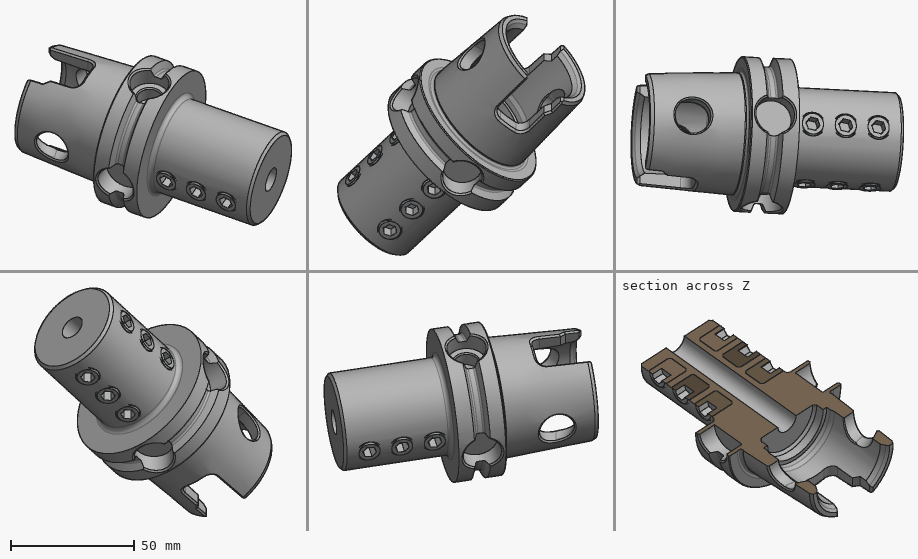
import cadquery as cq
import math

LENGTH = 105.0

TIP_CHAMFER_LENGTH = 1.4
TIP_RADIUS = 22.4
TAPER_START_RADIUS = 23.0
TAPER_END_RADIUS = 24.9
TAPER_END_X = 38.6

FLANGE_RADIUS = 31.5
FLANGE_FACE_X = 40.0
FLANGE_BACK_X = 59.8
FLANGE_EDGE_CHAMFER = 0.4
FACE_RELIEF_RADIUS = 26.9
FACE_RELIEF_DEPTH = 0.2
FACE_FILLET = 1.0
UNDERCUT_RADIUS = 24.7
FLANGE_MID_X = (FLANGE_FACE_X + FLANGE_BACK_X) / 2

GROOVE_MOUTH_WIDTH = 6.6
GROOVE_ROOT_WIDTH = 3.4
GROOVE_ROOT_RADIUS = 27.8
GROOVE_ROOT_FILLET = 0.9

POCKET_RADIUS = 8.0
POCKET_FLOOR_RADIUS = 22.7
POCKET_CHAMFER = 0.7
POCKET_ANGLES = (0.0, 90.0, 180.0, 270.0)

DRILL_RADIUS = 5.0
DRILL_DEPTH = 6.3
DRILL_CHAMFER = 0.5
DRILL_POINT_ANGLE = 118.0

BODY_RADIUS = 20.0
BODY_NECK_FILLET = 2.0
BODY_END_CHAMFER = 1.2

MOUTH_RADIUS = 20.4
MOUTH_CHAMFER = 1.2
LEAD_IN_END_X = 3.1
BORE_RADIUS = 18.0
BORE_END_X = 30.0
SEAT_RADIUS = 17.5
SEAT_START_X = 32.1
SHOULDER_X = 34.1
RECESS_RADIUS = 15.5
RECESS_FLOOR_X = 39.0
RECESS_CHAMFER = 1.2
THROUGH_BORE_RADIUS = 5.0

CROSS_HOLE_X = 17.4
CROSS_HOLE_RADIUS = 7.2
CROSS_HOLE_CHAMFER = 0.7
CROSS_HOLE_INNER_CHAMFER = 0.4

TILT_ANGLE = 27.0
TILT_MEETING_Y = 21.2

SLOT_END_X = 21.8
SLOT_HALF_WIDTH = 8.1
SLOT_CORNER_RADIUS = 3.9
SLOT_MOUTH_HALF_WIDTH = 10.1
SLOT_STEP_START_X = 6.7
SLOT_STEP_END_X = 9.1
SLOT_MOUTH_CHAMFER_LENGTH = 1.2
SLOT_MOUTH_CHAMFER_WIDTH = 0.8
SLOT_EDGE_CHAMFER = 0.9

SCREW_FIRST_X = 67.4
SCREW_PITCH = 13.5
SCREWS_PER_ROW = 3
SCREW_ROW_ANGLES = (90.0, -90.0, 180.0)
SCREW_RADIUS = 5.0
SCREW_LENGTH = 12.0
SCREW_CHAMFER = 0.68
SOCKET_ACROSS_FLATS = 5.0
SOCKET_DEPTH = 5.0
SOCKET_TURN = 11.0
SOCKET_SIDES = 6

EDGE_SAMPLES = (0.1, 0.3, 0.5, 0.7, 0.9)
TOLERANCE = 0.01
CLEARANCE = 1.0


def revolved(profile):
    """Turn a closed (x, radius) profile about the X axis."""
    return profile.close().revolve(360, (0, 0, 0), (1, 0, 0))


def radial_plane(x, radius, angle):
    """Plane at a distance from the axis, facing outward; angle 0 is +Z, 90 is -Y."""
    turn = math.radians(angle)
    outward = (0, -math.sin(turn), math.cos(turn))
    origin = (x, radius * outward[1], radius * outward[2])
    return cq.Plane(origin=origin, xDir=(1, 0, 0), normal=outward)


def edges_where(body, condition):
    """Edges of a body whose sample points all meet a condition."""
    def fits(edge):
        return all(condition(edge.positionAt(t)) for t in EDGE_SAMPLES)
    return body.newObject([edge for edge in body.edges().vals() if fits(edge)])


def hole_rim(body, x, radius, along_y, near, far):
    """Rim of round holes square to the X axis, between two distances from the axis."""
    def on_rim(p):
        side = p.z if along_y else p.y
        on_hole = abs(math.hypot(p.x - x, side) - radius) < TOLERANCE
        return on_hole and near < math.hypot(p.y, p.z) < far
    return edges_where(body, on_rim)


def outer_body():
    """Solid of revolution: taper, flange and rear body."""
    relief_x = FLANGE_FACE_X + FACE_RELIEF_DEPTH
    profile = (
        cq.Workplane("XY")
        .moveTo(0, 0)
        .lineTo(0, TAPER_START_RADIUS)
        .lineTo(TAPER_END_X, TAPER_END_RADIUS)
        .lineTo(relief_x - FACE_FILLET, UNDERCUT_RADIUS)
        .radiusArc((relief_x, UNDERCUT_RADIUS + FACE_FILLET), -FACE_FILLET)
        .lineTo(FLANGE_FACE_X, FACE_RELIEF_RADIUS)
        .lineTo(FLANGE_FACE_X, FLANGE_RADIUS - FLANGE_EDGE_CHAMFER)
        .lineTo(FLANGE_FACE_X + FLANGE_EDGE_CHAMFER, FLANGE_RADIUS)
        .lineTo(FLANGE_BACK_X, FLANGE_RADIUS)
        .lineTo(FLANGE_BACK_X, BODY_RADIUS + BODY_NECK_FILLET)
        .radiusArc((FLANGE_BACK_X + BODY_NECK_FILLET, BODY_RADIUS), -BODY_NECK_FILLET)
        .lineTo(LENGTH - BODY_END_CHAMFER, BODY_RADIUS)
        .lineTo(LENGTH, BODY_RADIUS - BODY_END_CHAMFER)
        .lineTo(LENGTH, 0)
    )
    return revolved(profile)


def pocket(angle):
    """Round pocket with a flat floor, cut straight into the rim."""
    plane = radial_plane(FLANGE_MID_X, POCKET_FLOOR_RADIUS, angle)
    return cq.Workplane(plane).circle(POCKET_RADIUS).extrude(FLANGE_RADIUS)


def groove():
    """Ring that cuts the V groove; it reaches a little beyond the rim."""
    outer = FLANGE_RADIUS + CLEARANCE
    slope = (GROOVE_MOUTH_WIDTH - GROOVE_ROOT_WIDTH) / 2 / (FLANGE_RADIUS - GROOVE_ROOT_RADIUS)
    half_root = GROOVE_ROOT_WIDTH / 2
    half_outer = half_root + slope * (outer - GROOVE_ROOT_RADIUS)
    profile = (
        cq.Workplane("XY")
        .moveTo(FLANGE_MID_X - half_outer, outer)
        .lineTo(FLANGE_MID_X - half_root, GROOVE_ROOT_RADIUS)
        .lineTo(FLANGE_MID_X + half_root, GROOVE_ROOT_RADIUS)
        .lineTo(FLANGE_MID_X + half_outer, outer)
    )
    ring = revolved(profile)
    root = cq.selectors.RadiusNthSelector(0)
    return ring.edges("%CIRCLE").edges(root).fillet(GROOVE_ROOT_FILLET)


def top_drill():
    """Drilled hole with a bevelled mouth and a conical bottom."""
    plane = radial_plane(FLANGE_MID_X, POCKET_FLOOR_RADIUS, 0)
    point = DRILL_RADIUS / math.tan(math.radians(DRILL_POINT_ANGLE / 2))
    profile = (
        cq.Workplane("XZ", origin=plane.origin.toTuple())
        .moveTo(0, 0)
        .lineTo(DRILL_RADIUS + DRILL_CHAMFER, 0)
        .lineTo(DRILL_RADIUS, -DRILL_CHAMFER)
        .lineTo(DRILL_RADIUS, -DRILL_DEPTH)
        .lineTo(0, -DRILL_DEPTH - point)
        .close()
    )
    return profile.revolve(360, (0, 0, 0), (0, 1, 0))


def cavity():
    """Stepped bore of the nose together with the through bore behind it."""
    profile = (
        cq.Workplane("XY")
        .moveTo(0, 0)
        .lineTo(0, MOUTH_RADIUS)
        .lineTo(MOUTH_CHAMFER, MOUTH_RADIUS - MOUTH_CHAMFER)
        .lineTo(LEAD_IN_END_X, BORE_RADIUS)
        .lineTo(BORE_END_X, BORE_RADIUS)
        .lineTo(SEAT_START_X, SEAT_RADIUS)
        .lineTo(SHOULDER_X, SEAT_RADIUS)
        .lineTo(SHOULDER_X, RECESS_RADIUS)
        .lineTo(RECESS_FLOOR_X - RECESS_CHAMFER, RECESS_RADIUS)
        .lineTo(RECESS_FLOOR_X, RECESS_RADIUS - RECESS_CHAMFER)
        .lineTo(RECESS_FLOOR_X, THROUGH_BORE_RADIUS)
        .lineTo(LENGTH, THROUGH_BORE_RADIUS)
        .lineTo(LENGTH, 0)
    )
    return revolved(profile)


def drive_slot():
    """Slot right across the nose, wider at its -Y side near the tip."""
    corner = SLOT_CORNER_RADIUS
    outline = (
        cq.Workplane("XY")
        .moveTo(0, SLOT_HALF_WIDTH)
        .lineTo(SLOT_END_X - corner, SLOT_HALF_WIDTH)
        .radiusArc((SLOT_END_X, SLOT_HALF_WIDTH - corner), corner)
        .lineTo(SLOT_END_X, corner - SLOT_HALF_WIDTH)
        .radiusArc((SLOT_END_X - corner, -SLOT_HALF_WIDTH), corner)
        .lineTo(SLOT_STEP_END_X, -SLOT_HALF_WIDTH)
        .lineTo(SLOT_STEP_START_X, -SLOT_MOUTH_HALF_WIDTH)
        .lineTo(0, -SLOT_MOUTH_HALF_WIDTH)
        .close()
    )
    return outline.extrude(FLANGE_RADIUS, both=True)


def slot_outer_rim(body):
    """Edges where the drive slot breaks through the taper."""
    def on_rim(p):
        beside_slot = abs(p.y) < SLOT_MOUTH_HALF_WIDTH + 2 * SLOT_MOUTH_CHAMFER_WIDTH
        return beside_slot and 0 < p.x < SLOT_END_X + TOLERANCE and math.hypot(p.y, p.z) > MOUTH_RADIUS
    return edges_where(body, on_rim)


def slot_mouth_flare():
    """Bevels on both sides of the slot where it opens at the tip."""
    flare = SLOT_MOUTH_CHAMFER_WIDTH
    outline = (
        cq.Workplane("XY")
        .moveTo(0, SLOT_HALF_WIDTH + flare)
        .lineTo(SLOT_MOUTH_CHAMFER_LENGTH, SLOT_HALF_WIDTH)
        .lineTo(SLOT_MOUTH_CHAMFER_LENGTH, -SLOT_MOUTH_HALF_WIDTH)
        .lineTo(0, -SLOT_MOUTH_HALF_WIDTH - flare)
        .close()
    )
    return outline.extrude(FLANGE_RADIUS, both=True)


def tip_chamfer():
    """Ring that bevels the outer edge of the tip."""
    slope = (TAPER_START_RADIUS - TIP_RADIUS) / TIP_CHAMFER_LENGTH
    outer = FLANGE_RADIUS
    profile = (
        cq.Workplane("XY")
        .moveTo(0, outer)
        .lineTo(0, TIP_RADIUS)
        .lineTo((outer - TIP_RADIUS) / slope, outer)
    )
    return revolved(profile)


def cross_hole():
    """Straight hole along Y through both walls of the nose."""
    plane = radial_plane(CROSS_HOLE_X, 0, 90)
    return cq.Workplane(plane).circle(CROSS_HOLE_RADIUS).extrude(FLANGE_RADIUS, both=True)


def tilted_hole(side):
    """Hole that leans from the axis out to one cross hole; side is 1 for +Y and -1 for -Y."""
    tilt = math.radians(TILT_ANGLE)
    outward = (math.sin(tilt), side * math.cos(tilt), 0)
    start = (CROSS_HOLE_X - TILT_MEETING_Y * math.tan(tilt), 0, 0)
    plane = cq.Plane(origin=start, xDir=(0, 0, 1), normal=outward)
    return cq.Workplane(plane).circle(CROSS_HOLE_RADIUS).extrude(TILT_MEETING_Y / math.cos(tilt))


def screw_blank(x, angle):
    """Set screw without its socket; the outer face is flush with the body."""
    plane = radial_plane(x, BODY_RADIUS, angle)
    blank = cq.Workplane(plane).circle(SCREW_RADIUS).extrude(-SCREW_LENGTH)
    return blank.edges("%CIRCLE").chamfer(SCREW_CHAMFER)


def set_screw(x, angle):
    """Finished set screw with its hexagon socket."""
    plane = radial_plane(x, BODY_RADIUS, angle)
    across_corners = SOCKET_ACROSS_FLATS / math.cos(math.pi / SOCKET_SIDES)
    socket = (
        cq.Workplane(plane)
        .transformed(rotate=(0, 0, -SOCKET_TURN))
        .polygon(SOCKET_SIDES, across_corners)
        .extrude(-SOCKET_DEPTH)
    )
    return screw_blank(x, angle).cut(socket)


def make_holder(screw_places):
    """Holder body; rims are bevelled before later cuts cross them."""
    body = outer_body()
    for angle in POCKET_ANGLES:
        body = body.cut(pocket(angle))
    outside = FLANGE_RADIUS + CLEARANCE
    for along_y in (True, False):
        rim = hole_rim(body, FLANGE_MID_X, POCKET_RADIUS, along_y, GROOVE_ROOT_RADIUS, outside)
        body = rim.chamfer(POCKET_CHAMFER)
    body = body.cut(groove()).cut(top_drill())
    body = body.cut(drive_slot())
    body = slot_outer_rim(body).chamfer(SLOT_EDGE_CHAMFER)
    body = body.cut(tip_chamfer()).cut(slot_mouth_flare())
    body = body.cut(cavity()).cut(cross_hole())
    rim = hole_rim(body, CROSS_HOLE_X, CROSS_HOLE_RADIUS, True, TIP_RADIUS, TAPER_END_RADIUS)
    body = rim.chamfer(CROSS_HOLE_CHAMFER)
    rim = hole_rim(body, CROSS_HOLE_X, CROSS_HOLE_RADIUS, True, 0, BORE_RADIUS + TOLERANCE)
    body = rim.chamfer(CROSS_HOLE_INNER_CHAMFER)
    for side in (1, -1):
        body = body.cut(tilted_hole(side))
    for x, angle in screw_places:
        body = body.cut(screw_blank(x, angle))
    return body


screw_places = [
    (SCREW_FIRST_X + SCREW_PITCH * i, angle)
    for angle in SCREW_ROW_ANGLES
    for i in range(SCREWS_PER_ROW)
]
holder = make_holder(screw_places)
screws = [set_screw(x, angle) for x, angle in screw_places]

result = cq.Compound.makeCompound([holder.val(), *(screw.val() for screw in screws)])